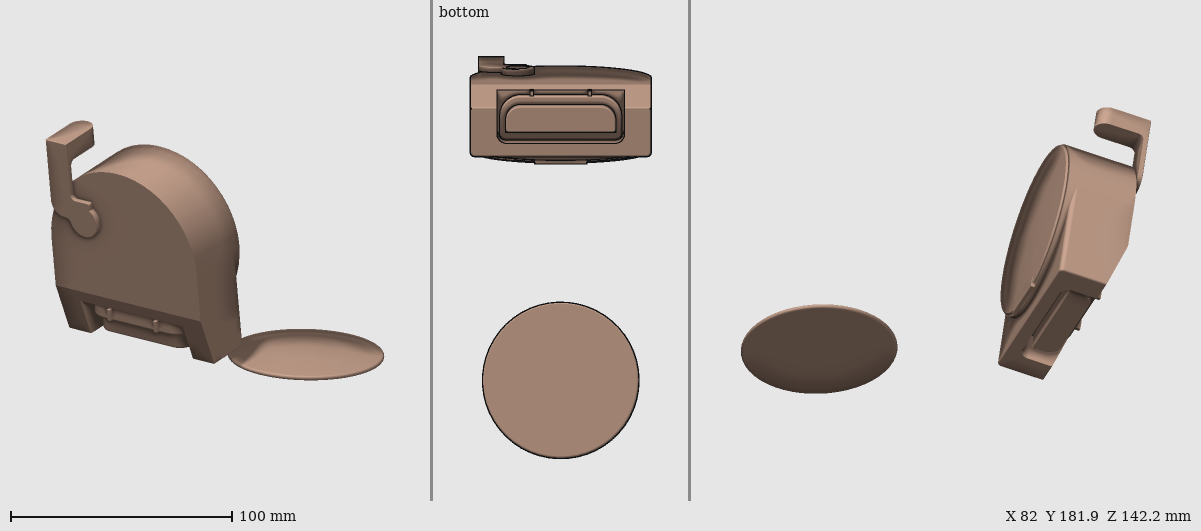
import cadquery as cq
import math


LEAN = 7.5
ARCH_R = 41.0
DRUM_DEPTH = 32.4
BASE_DEPTH = 29.8
BASE_BOTTOM = -48.7
BASE_BACK_FILLET = 2.2
BASE_BOTTOM_FILLET = 0.9
BEVEL_TOP = -24.0
BEVEL_RUN = 7.3

CUT_MARGIN = 1.8

POCKET_TOP = -29.8
POCKET_BACK = 23.6
POCKET_HALF_WIDTH = 28.9
POCKET_CORNER_R = 4.5

FLANGE_FRONT = 3.6
FLANGE_TOP = -30.9
FLANGE_BOTTOM = -37.0
FLANGE_FILLET = 0.9
FLANGE_CORNER_R = 9.6
FLANGE_HALF_WIDTH = 27.6
POST_WIDTH = 1.6
POST_OUT = 2.2
POST_X = 13.0
POST_ROOT = 1.0

BLOCK_FRONT = 7.3
BLOCK_INSET = 2.7
BLOCK_BOTTOM = -45.5
BLOCK_FILLET = 0.7

LEVER_FRONT = -2.9
LEVER_GAP = 0.5
LEVER_LEFT = -37.3
LEVER_RIGHT = -25.6
LEVER_TOP = 51.3
LEVER_ELBOW_BOTTOM = 13.6
LEVER_ELBOW_R = 7.3
LEVER_FILLET = 0.4
HOOK_BOTTOM = 42.0
HOOK_DEPTH = 21.5
HOOK_INNER_R = 2.7
HOOK_END_FLAT = 0.04
TAB_TOP = 23.6
TAB_RIGHT = -15.5
TAB_INNER_R = 2.5
TAB_CORNER_R = 1.0
BOSS_X = -19.5
BOSS_UP = 13.6
BOSS_R = 7.6
BOSS_BLEND_R = 2.9
PIN_R = 5.0
PIN_SOCKET = 5.5

PAD_R = 40.4
PAD_RIM = 1.5
PAD_RISE = 2.0
PULL_HALF_WIDTH = 11.8
PULL_TOP = -35.3
PULL_BACK = 34.2

DISC_R = 35.5
DISC_RIM = 2.2
DISC_RISE = 2.45
DISC_Y = 136.9
DISC_Z = -86.2
DISC_TILT = -2.0


def block(x0, x1, depth0, depth1, up0, up1):
    """Rectangular block between two positions on each axis."""
    corner = (x0, depth0, up0)
    return cq.Workplane("XY", origin=corner).box(x1 - x0, depth1 - depth0, up1 - up0, centered=False)


def depth_cylinder(radius, x, up, depth0, depth1):
    """Cylinder along the depth axis."""
    return cq.Workplane("XZ", origin=(x, depth0, up)).circle(radius).extrude(depth0 - depth1)


def domed_disc(radius, rim, rise):
    """Disc on z = 0 with a fully rounded rim and a spherical top."""
    round_r = rim / 2
    flat_r = radius - round_r
    sphere_r = (flat_r**2 + rise**2) / (2 * rise)
    mid_angle = math.asin(flat_r / sphere_r) / 2
    dome_mid = (sphere_r * math.sin(mid_angle), rim + rise - sphere_r * (1 - math.cos(mid_angle)))
    corner = round_r * math.sqrt(0.5)
    profile = (
        cq.Workplane("XZ")
        .lineTo(flat_r, 0)
        .threePointArc((flat_r + corner, round_r - corner), (radius, round_r))
        .threePointArc((flat_r + corner, round_r + corner), (flat_r, rim))
        .threePointArc(dome_mid, (0, rim + rise))
        .close()
    )
    return profile.revolve(360, (0, 0, 0), (0, 1, 0))


def rounded_slab(half_width, depth0, depth1, up0, up1, corner_r, corner_side):
    """Slab whose two upright edges on one depth side ("<Y" or ">Y") are rounded."""
    slab = block(-half_width, half_width, depth0, depth1, up0, up1)
    return slab.edges("|Z").edges(corner_side).fillet(corner_r)


def pocket_outline(up0, up1):
    """Slab with the plan shape of the housing pocket."""
    return rounded_slab(POCKET_HALF_WIDTH, -CUT_MARGIN, POCKET_BACK, up0, up1, POCKET_CORNER_R, ">Y")


def make_housing():
    drum = depth_cylinder(ARCH_R, 0, 0, 0, DRUM_DEPTH)
    base = block(-ARCH_R, ARCH_R, 0, BASE_DEPTH, BASE_BOTTOM, 0)
    bevel = (
        cq.Workplane("YZ", origin=(-ARCH_R, 0, 0))
        .moveTo(0, BEVEL_TOP)
        .lineTo(0, BASE_BOTTOM)
        .lineTo(BEVEL_RUN, BASE_BOTTOM)
        .close()
        .extrude(2 * ARCH_R)
    )
    base = base.edges("|Z and >Y").fillet(BASE_BACK_FILLET)
    base = base.cut(bevel)
    base = base.faces("<Z").edges().fillet(BASE_BOTTOM_FILLET)
    pocket = pocket_outline(BASE_BOTTOM - CUT_MARGIN, POCKET_TOP)
    socket = depth_cylinder(PIN_R, BOSS_X, BOSS_UP, 0, PIN_SOCKET)
    return drum.cut(bevel).union(base).cut(pocket).cut(socket)


def make_suction_pad():
    pad = domed_disc(PAD_R, PAD_RIM, PAD_RISE)
    pad = pad.rotate((0, 0, 0), (1, 0, 0), -90).translate((0, DRUM_DEPTH, 0))
    pull = block(-PULL_HALF_WIDTH, PULL_HALF_WIDTH, DRUM_DEPTH, PULL_BACK, -PAD_R, PULL_TOP)
    return pad.union(pull)


def make_flange():
    plate = rounded_slab(
        FLANGE_HALF_WIDTH, FLANGE_FRONT, POCKET_BACK, FLANGE_BOTTOM, FLANGE_TOP, FLANGE_CORNER_R, "<Y"
    )
    plate = plate.intersect(pocket_outline(FLANGE_BOTTOM, FLANGE_TOP))
    plate = plate.faces("<Z").edges("not >Y").fillet(FLANGE_FILLET)
    for x in (-POST_X, POST_X):
        post = block(
            x - POST_WIDTH / 2,
            x + POST_WIDTH / 2,
            FLANGE_FRONT - POST_OUT,
            FLANGE_FRONT + POST_ROOT,
            FLANGE_BOTTOM + FLANGE_FILLET,
            FLANGE_TOP,
        )
        plate = plate.union(post)
    return plate


def make_latch_block():
    body = rounded_slab(
        FLANGE_HALF_WIDTH - BLOCK_INSET,
        BLOCK_FRONT,
        POCKET_BACK - POCKET_CORNER_R,
        BLOCK_BOTTOM,
        FLANGE_BOTTOM,
        FLANGE_CORNER_R - BLOCK_INSET,
        "<Y",
    )
    return body.faces("<Z").edges().fillet(BLOCK_FILLET)


def lever_slab(x0, x1, up0, up1):
    """Part of the lever plate between the given sides."""
    return block(x0, x1, LEVER_FRONT, -LEVER_GAP, up0, up1)


def make_lever():
    arm = lever_slab(LEVER_LEFT, LEVER_RIGHT, LEVER_ELBOW_BOTTOM, LEVER_TOP)
    arm = arm.edges("|Y and <X and <Z").fillet(LEVER_ELBOW_R)
    tab = lever_slab(LEVER_RIGHT, TAB_RIGHT, BOSS_UP, TAB_TOP)
    tab = tab.edges("|Y and >X and >Z").fillet(TAB_CORNER_R)
    plate = arm.union(tab)
    inner_corner = cq.selectors.NearestToPointSelector((LEVER_RIGHT, LEVER_FRONT / 2, TAB_TOP))
    plate = plate.edges(inner_corner).fillet(TAB_INNER_R)
    plate = plate.union(depth_cylinder(BOSS_R, BOSS_X, BOSS_UP, LEVER_FRONT, 0))
    boss_blend = cq.selectors.NearestToPointSelector((BOSS_X - BOSS_R, LEVER_FRONT / 2, BOSS_UP))
    plate = plate.edges("|Y").edges(boss_blend).fillet(BOSS_BLEND_R)

    hook = block(LEVER_LEFT, LEVER_RIGHT, LEVER_FRONT, HOOK_DEPTH, HOOK_BOTTOM, LEVER_TOP)
    end_r = (LEVER_RIGHT - LEVER_LEFT - HOOK_END_FLAT) / 2
    hook = hook.edges("|Z and >Y").fillet(end_r)
    lever = plate.union(hook)
    hook_root = cq.selectors.NearestToPointSelector(((LEVER_LEFT + LEVER_RIGHT) / 2, -LEVER_GAP, HOOK_BOTTOM))
    lever = lever.edges(hook_root).fillet(HOOK_INNER_R)
    lever = lever.faces("<Y").edges().fillet(LEVER_FILLET)
    return lever.cut(depth_cylinder(PIN_R, BOSS_X, BOSS_UP, LEVER_FRONT, 0))


def make_pin():
    return depth_cylinder(PIN_R, BOSS_X, BOSS_UP, LEVER_FRONT, PIN_SOCKET)


def lean(body):
    """Lean an upright mount body forward about the arch axis point."""
    return body.rotate((0, 0, 0), (1, 0, 0), LEAN)


def make_mounting_disc():
    disc = domed_disc(DISC_R, DISC_RIM, DISC_RISE).translate((0, 0, -DISC_RIM / 2))
    return disc.rotate((0, 0, 0), (1, 0, 0), DISC_TILT).translate((0, DISC_Y, DISC_Z))


housing = lean(make_housing())
suction_pad = lean(make_suction_pad())
flange = lean(make_flange())
latch_block = lean(make_latch_block())
lever = lean(make_lever())
pin = lean(make_pin())
mounting_disc = make_mounting_disc()

result = cq.Compound.makeCompound(
    [
        housing.val(),
        suction_pad.val(),
        flange.val(),
        latch_block.val(),
        lever.val(),
        pin.val(),
        mounting_disc.val(),
    ]
)